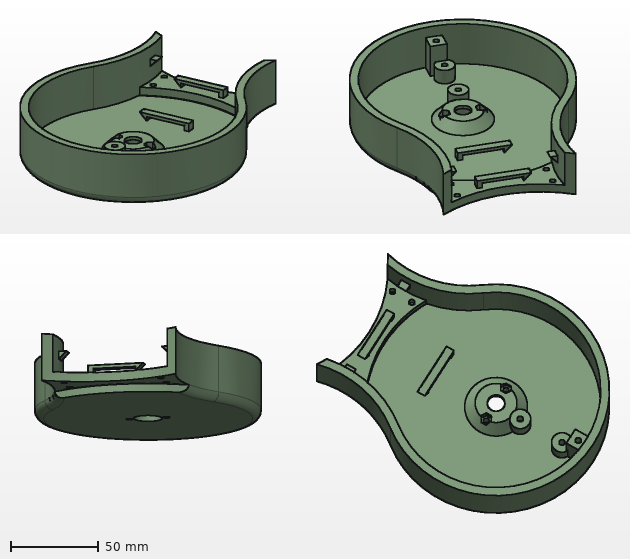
import cadquery as cq
import math

BOWL_RADIUS = 65.0
FLARE_RADIUS = 65.0
NECK_WAIST_Y = 80.0
HEIGHT = 32.0
WALL = 5.0
FLOOR = 5.0
BOTTOM_FILLET = 5.0
FLARE_X = math.sqrt((BOWL_RADIUS + FLARE_RADIUS) ** 2 - NECK_WAIST_Y ** 2)
BLANK_END_Y = 100.0
COVER_RADIUS = 2 * BLANK_END_Y

STEP_RADIUS = 75.0
END_RADIUS = 75.0
END_APEX_Y = 85.0
NECK_UNDERSIDE_Z = 4.6
NECK_TOP_Z = FLOOR + 5.0

SCREW_DIAMETER = 3.4
NECK_SCREW_X = 28.5
NECK_SCREW_PITCH_Y = 13.0
LATCH_WIDTH = 6.0
LATCH_TIP_X = 28.0
LATCH_TOP_Z = 24.0

BRIDGE_LEFT_X = -17.0
BRIDGE_RIGHT_X = 15.5
BRIDGE_OPENING_X = 12.4
BRIDGE_WIDTH = 5.0
BRIDGE_HEIGHT = 5.0
BRIDGE_THICKNESS = 2.0
BOWL_BRIDGE_Y = 40.0

HUB_BASE_RADIUS = 18.0
HUB_TOP_RADIUS = 12.0
HUB_HEIGHT = 6.0
HUB_BORE_DIAMETER = 10.0
HUB_POCKET_DIAMETER = 16.4
HUB_CEILING = 2.0
HUB_SCREW_X = 11.0
NUT_ACROSS_FLATS = 5.8
NUT_DEPTH = 4.0

POST_DIAMETER = 12.0
POST_X = -2.25
POST_YS = (-17.5, -45.5)
POST_HEIGHT = 9.0

BLOCK_WIDTH = 10.0
BLOCK_FRONT_Y = -50.0
BLOCK_SCREW_Y = -55.0
BLOCK_TOP_Z = 25.0


def cylinder(radius, bottom, top, x=0.0, y=0.0):
    return cq.Workplane("XY", origin=(x, y, bottom)).circle(radius).extrude(top - bottom)


def shell_prism(inset, bottom):
    """Bowl and neck outline moved inward by inset, from bottom up to the rim."""
    bowl = BOWL_RADIUS - inset
    flare = FLARE_RADIUS + inset
    tangent_x = FLARE_X * bowl / (BOWL_RADIUS + FLARE_RADIUS)
    tangent_y = NECK_WAIST_Y * bowl / (BOWL_RADIUS + FLARE_RADIUS)
    waist_x = FLARE_X - flare
    end_x = FLARE_X - math.sqrt(flare ** 2 - (BLANK_END_Y - NECK_WAIST_Y) ** 2)
    return (
        cq.Workplane("XY", origin=(0, 0, bottom))
        .moveTo(tangent_x, tangent_y)
        .threePointArc((0, -bowl), (-tangent_x, tangent_y))
        .threePointArc((-waist_x, NECK_WAIST_Y), (-end_x, BLANK_END_Y))
        .lineTo(end_x, BLANK_END_Y)
        .threePointArc((waist_x, NECK_WAIST_Y), (tangent_x, tangent_y))
        .close()
        .extrude(HEIGHT - bottom)
    )


def make_shell():
    outside = shell_prism(0, 0).faces("<Z").edges("not(>Y)").fillet(BOTTOM_FILLET)
    cavity = shell_prism(WALL, FLOOR)
    neck_slab = shell_prism(WALL, FLOOR).cut(cylinder(STEP_RADIUS, 0, HEIGHT))
    neck_slab = neck_slab.cut(cylinder(COVER_RADIUS, NECK_TOP_Z, HEIGHT))
    below_neck = cylinder(COVER_RADIUS, 0, NECK_UNDERSIDE_Z).cut(cylinder(STEP_RADIUS, 0, HEIGHT))
    mating_disc = cylinder(END_RADIUS, 0, HEIGHT, y=END_APEX_Y + END_RADIUS)
    return outside.cut(cavity).union(neck_slab).cut(below_neck).cut(mating_disc)


def make_latch(side):
    """Wedge on the inside of a neck wall: flat on top, sloping at 45 degrees below."""
    root_x = FLARE_X - FLARE_RADIUS - WALL / 2
    reach = root_x - LATCH_TIP_X
    return (
        cq.Workplane("XZ", origin=(0, NECK_WAIST_Y + LATCH_WIDTH / 2, 0))
        .moveTo(side * LATCH_TIP_X, LATCH_TOP_Z)
        .lineTo(side * root_x, LATCH_TOP_Z)
        .lineTo(side * root_x, LATCH_TOP_Z - reach)
        .close()
        .extrude(LATCH_WIDTH)
    )


def make_bridge(y, base):
    """Cable bridge: upright right leg, and a left hook cut at 45 degrees that ends just above the base."""
    top = base + BRIDGE_HEIGHT
    opening_top = top - BRIDGE_THICKNESS
    left_tip = top - (-BRIDGE_OPENING_X - BRIDGE_LEFT_X)
    return (
        cq.Workplane("XZ", origin=(0, y + BRIDGE_WIDTH / 2, 0))
        .moveTo(BRIDGE_LEFT_X, top)
        .lineTo(BRIDGE_RIGHT_X, top)
        .lineTo(BRIDGE_RIGHT_X, base)
        .lineTo(BRIDGE_OPENING_X, base)
        .lineTo(BRIDGE_OPENING_X, opening_top)
        .lineTo(-BRIDGE_OPENING_X, opening_top)
        .lineTo(-BRIDGE_OPENING_X, left_tip)
        .close()
        .extrude(BRIDGE_WIDTH)
    )


def make_hub():
    top = FLOOR + HUB_HEIGHT
    profile = [(0, FLOOR), (HUB_BASE_RADIUS, FLOOR), (HUB_TOP_RADIUS, top), (0, top)]
    return cq.Workplane("YZ").polyline(profile).close().revolve(360, (0, 0), (0, 1))


def cut_hub_holes(body):
    top = FLOOR + HUB_HEIGHT
    body = body.cut(cylinder(HUB_BORE_DIAMETER / 2, 0, top))
    body = body.cut(cylinder(HUB_POCKET_DIAMETER / 2, 0, top - HUB_CEILING))
    nut_across_corners = NUT_ACROSS_FLATS / math.cos(math.pi / 6)
    for x in (-HUB_SCREW_X, HUB_SCREW_X):
        body = body.cut(cylinder(SCREW_DIAMETER / 2, 0, top, x=x))
        nut = (
            cq.Workplane("XY", origin=(x, 0, top))
            .transformed(rotate=(0, 0, 30))
            .polygon(6, nut_across_corners)
            .extrude(-NUT_DEPTH)
        )
        body = body.cut(nut)
    return body


def make_post(y):
    top = FLOOR + POST_HEIGHT
    post = cylinder(POST_DIAMETER / 2, FLOOR, top, x=POST_X, y=y)
    return post.cut(cylinder(SCREW_DIAMETER / 2, FLOOR, top, x=POST_X, y=y))


def make_block():
    """Upright screw block standing on the floor against the rear wall."""
    root_y = WALL / 2 - BOWL_RADIUS
    length = BLOCK_FRONT_Y - root_y
    block = (
        cq.Workplane("XY", origin=(0, root_y, FLOOR))
        .box(BLOCK_WIDTH, length, BLOCK_TOP_Z - FLOOR, centered=(True, False, False))
    )
    return block.cut(cylinder(SCREW_DIAMETER / 2, FLOOR, BLOCK_TOP_Z, y=BLOCK_SCREW_Y))


body = make_shell()
for side in (-1, 1):
    body = body.union(make_latch(side))
    for offset in (-NECK_SCREW_PITCH_Y / 2, NECK_SCREW_PITCH_Y / 2):
        screw_y = NECK_WAIST_Y + offset
        body = body.cut(cylinder(SCREW_DIAMETER / 2, 0, NECK_TOP_Z, x=side * NECK_SCREW_X, y=screw_y))

body = body.union(make_bridge(NECK_WAIST_Y, NECK_TOP_Z))
body = body.union(make_bridge(BOWL_BRIDGE_Y, FLOOR))
body = cut_hub_holes(body.union(make_hub()))
for post_y in POST_YS:
    body = body.union(make_post(post_y))
result = body.union(make_block())